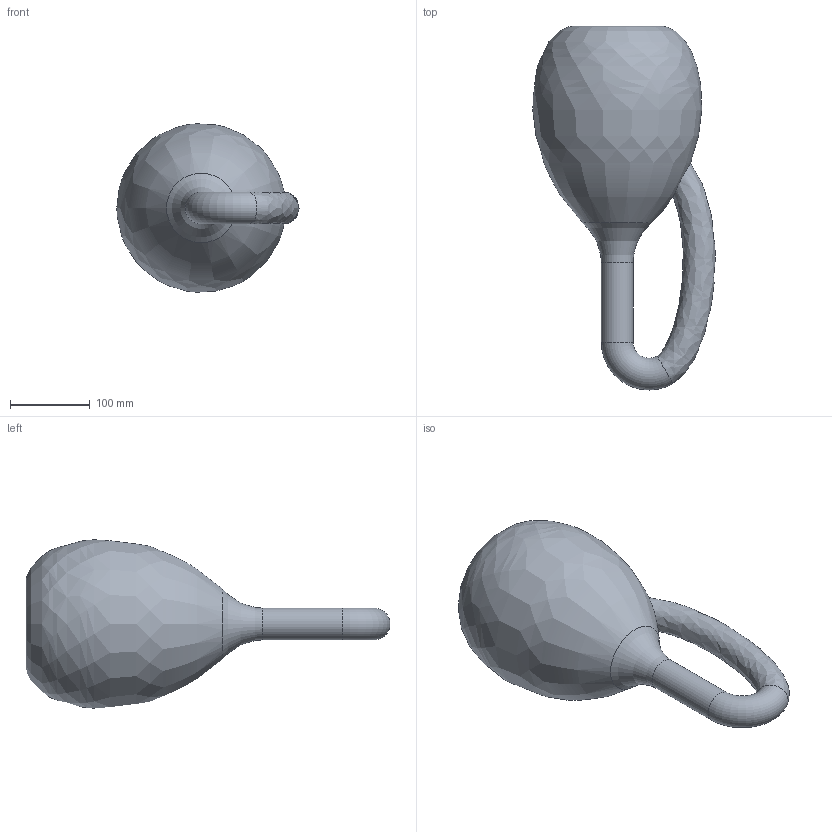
import cadquery as cq
import math

tube_radius = 20.0
bend_radius = 40.0
bend_angle = 120.0
straight_length = 100.0
neck_length = 50.0
neck_end_radius = 43.6
bulb_length = 247.31
bulb_start_angle = 44.1
bulb_lower_fullness = 141.4
bulb_upper_fullness = 54.5
end_face_radius = 53.6
handle_lower_fullness = 57.0
handle_pull = (133.0, 216.6)
handle_end = (37.3, 240.1)

neck_start_y = straight_length
bulb_start_y = neck_start_y + neck_length
bulb_end_y = bulb_start_y + bulb_length

neck_flare = neck_end_radius - tube_radius
neck_arc_radius = (neck_length**2 + neck_flare**2) / (2 * neck_flare)
neck_end_angle = math.asin(neck_length / neck_arc_radius)


def point_along(start, direction, distance):
    """Point at a distance from start along a unit direction."""
    return (start[0] + distance * direction[0], start[1] + distance * direction[1])


def neck_arc_point(angle):
    """Point on the neck flare, measured from its tangency with the tube."""
    x = tube_radius + neck_arc_radius * (1 - math.cos(angle))
    return (x, neck_start_y + neck_arc_radius * math.sin(angle))


def make_body():
    """Straight tube, flared neck and egg-shaped bulb, revolved about Y."""
    neck_end = neck_arc_point(neck_end_angle)
    end_face_edge = (end_face_radius, bulb_end_y)
    start_angle = math.radians(bulb_start_angle)
    start_tangent = (math.sin(start_angle), math.cos(start_angle))
    lower_control = point_along(neck_end, start_tangent, bulb_lower_fullness)
    upper_control = point_along(end_face_edge, (1, 0), bulb_upper_fullness)
    profile = (
        cq.Workplane("XY")
        .lineTo(tube_radius, 0)
        .lineTo(tube_radius, neck_start_y)
        .threePointArc(neck_arc_point(neck_end_angle / 2), neck_end)
        .bezier([neck_end, lower_control, upper_control, end_face_edge])
        .lineTo(0, bulb_end_y)
        .close()
    )
    return profile.revolve(360, (0, 0, 0), (0, 1, 0))


def bend_point(angle_degrees):
    """Point on the bend centreline after sweeping the given angle."""
    angle = math.radians(angle_degrees)
    return (bend_radius * (1 - math.cos(angle)), -bend_radius * math.sin(angle))


def make_tube_loop():
    """Round tube following the bend and then the bowed handle into the bulb."""
    angle = math.radians(bend_angle)
    bend_end_tangent = (math.sin(angle), -math.cos(angle))
    bend_end = bend_point(bend_angle)
    lower_control = point_along(bend_end, bend_end_tangent, handle_lower_fullness)
    path = (
        cq.Workplane("XY")
        .threePointArc(bend_point(bend_angle / 2), bend_end)
        .bezier([bend_end, lower_control, handle_pull, handle_end])
    )
    return cq.Workplane("XZ").circle(tube_radius).sweep(path)


result = make_body().union(make_tube_loop())